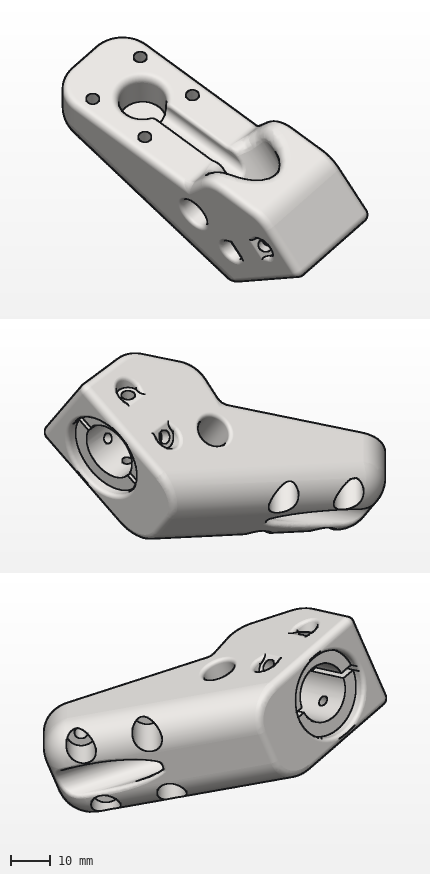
import cadquery as cq
import math

length = 85.0
width = 27.0
deck_height = 31.4
top_height = 41.05
belly_angle = 15.0
hump_angle = 55.0
nose_bottom_height = 15.3
hump_foot_x = 47.1
hump_shoulder_x = 72.4

edge_radius = 2.0
belly_radius = 9.0
hump_radius = 8.8
hump_foot_radius = 4.0
lip_radius = 1.0

bore_diameter = 15.0
bore_lip_radius = 3.0
bore_axis_sum = 90.8
flange_diameter = 22.3
flange_depth = 3.0
key_width = 1.5
key_depth = 15.0

screw_tilt = 30.0
screw_setback = 10.0
screw_seat_offset = 7.0
screw_flat_offset = 4.5
screw_flat_width = 4.25
screw_head_diameter = 6.0
screw_clearance_diameter = 3.5
screw_clearance_depth = 3.0
screw_tap_diameter = 2.6
screw_tap_depth = 10.2

deck_hole_x = 19.9
deck_hole_diameter = 12.0
deck_hole_depth = 10.0
deck_hole_lip_radius = 2.0
groove_width = 5.0
groove_depth = 4.3
mount_pitch = 17.7
mount_hole_diameter = 3.3
mount_head_diameter = 7.5
mount_seat_height = 21.25

nose_hole_diameter = 8.3
nose_hole_z = 13.2
nose_hole_end_x = 30.0
cross_hole_diameter = 8.3
cross_hole_x = 49.5
cross_hole_z = 22.4

margin = 4.25
touch = 0.04
half_width = width / 2
hump_front_x = hump_foot_x + (top_height - deck_height) / math.tan(math.radians(hump_angle))
tip_x = length + edge_radius * (math.sqrt(2) - 1)
tip_z = top_height - (tip_x - hump_shoulder_x)
face_difference = tip_x - tip_z
heel_x = (nose_bottom_height + face_difference) / (1 + math.tan(math.radians(belly_angle)))
heel_z = heel_x - face_difference

face_center = cq.Vector((bore_axis_sum + face_difference) / 2, 0, (bore_axis_sum - face_difference) / 2)
inward = cq.Vector(-1, 0, 1).normalized()
upward = cq.Vector(1, 0, 1).normalized()
across = cq.Vector(0, 1, 0)


def near(x, y, z):
    return cq.selectors.NearestToPointSelector((x, y, z))


def pick_edges(body, wanted):
    return body.newObject([edge for edge in body.edges().vals() if wanted(edge)])


def samples(edge):
    return [edge.positionAt(step / 4) for step in range(5)]


def axis_distance(point, base, direction):
    offset = point - base
    return (offset - direction * offset.dot(direction)).Length


def cylinder(diameter, height, base, direction):
    return cq.Workplane(cq.Solid.makeCylinder(diameter / 2, height, base, direction))


def make_body():
    outline = [
        (0, nose_bottom_height),
        (0, deck_height),
        (hump_foot_x, deck_height),
        (hump_front_x, top_height),
        (hump_shoulder_x, top_height),
        (tip_x, tip_z),
        (heel_x, heel_z),
    ]
    body = cq.Workplane("XZ").polyline(outline).close().extrude(half_width, both=True)
    for x in (hump_front_x, hump_shoulder_x):
        body = body.edges(near(x, 0, top_height)).fillet(hump_radius)

    belly_edges = near(0, 0, nose_bottom_height)
    for y in (-half_width, half_width):
        belly_edges = belly_edges + near(0, y, (deck_height + nose_bottom_height) / 2)
        belly_edges = belly_edges + near(heel_x / 2, y, (nose_bottom_height + heel_z) / 2)
    body = body.edges(belly_edges).fillet(belly_radius)

    body = pick_edges(body, is_rim_edge).fillet(edge_radius)
    return body.edges(near(hump_foot_x, 0, deck_height)).fillet(hump_foot_radius)


def is_rim_edge(edge):
    """Edges around the top, the back and the tube face, but no crease running across the part."""
    center = edge.Center()
    if abs(center.x - tip_x) < touch:
        return True
    if abs(center.y) < touch and edge.Length() > width - touch:
        return False
    on_top = center.z > deck_height - touch
    on_back = abs(center.x + center.z - tip_x - tip_z) < touch
    on_tube_face = all(abs(p.x - p.z - face_difference) < touch for p in samples(edge))
    return on_top or on_back or on_tube_face


def cut_bore(body):
    start = face_center - inward * margin
    plane = cq.Plane(start, upward * -1, inward)
    body = body.cut(cq.Workplane(plane).circle(bore_diameter / 2).extrude(length))

    def is_upper_rim(edge):
        on_wall = all(
            abs(axis_distance(p, face_center, inward) - bore_diameter / 2) < touch for p in samples(edge)
        )
        return on_wall and (edge.Center() - face_center).dot(inward) > key_depth

    return pick_edges(body, is_upper_rim).fillet(bore_lip_radius)


def cut_flange(body):
    """Shallow bore with a rounded rim in the tube face, turned about the bore axis."""
    radius = flange_diameter / 2
    rim_radius = radius + lip_radius
    bend = lip_radius * (1 - math.sin(math.radians(45)))
    plane = cq.Plane(face_center, across, across.cross(inward))
    cutter = (
        cq.Workplane(plane)
        .moveTo(0, -margin)
        .lineTo(rim_radius, -margin)
        .lineTo(rim_radius, 0)
        .threePointArc((radius + bend, bend), (radius, lip_radius))
        .lineTo(radius, flange_depth)
        .lineTo(0, flange_depth)
        .close()
        .revolve(360, (0, 0, 0), (0, 1, 0))
    )
    return body.cut(cutter)


def cut_keyway(body):
    plane = cq.Plane(face_center, across, inward)
    return body.cut(cq.Workplane(plane).rect(key_width, flange_diameter).extrude(key_depth))


def cut_deck_hole_and_groove(body):
    top = cq.Vector(deck_hole_x, 0, deck_height)
    body = body.cut(cylinder(deck_hole_diameter, deck_hole_depth, top, cq.Vector(0, 0, -1)))
    body = pick_edges(
        body,
        lambda edge: edge.geomType() == "CIRCLE"
        and abs(edge.Length() - math.pi * deck_hole_diameter) < touch
        and edge.Center().z > deck_height - touch,
    ).fillet(deck_hole_lip_radius)

    axis_z = deck_height - groove_depth + groove_width / 2
    run = bore_axis_sum - deck_height - deck_hole_x
    floor = cylinder(groove_width, run, cq.Vector(deck_hole_x, 0, axis_z), cq.Vector(1, 0, 0))
    walls = cq.Workplane("XY", origin=(deck_hole_x, 0, axis_z)).box(
        run, groove_width, top_height - axis_z, centered=(False, True, False)
    )
    body = body.cut(floor.union(walls))

    wall_radius = bore_diameter / 2

    def is_groove_rim(edge):
        points = samples(edge)
        on_wall = all(abs(abs(p.y) - groove_width / 2) < touch for p in points)
        on_deck = on_wall and edge.Center().z > deck_height - touch
        in_bore = all(abs(axis_distance(p, face_center, inward) - wall_radius) < touch for p in points)
        crosses_floor = in_bore and abs(edge.Center().y) < touch and edge.Center().z < deck_height - touch
        return on_deck or crosses_floor

    return pick_edges(body, is_groove_rim).fillet(lip_radius)


def cut_mounting_holes(body):
    base = heel_z - margin
    for x_side in (-1, 1):
        for y_side in (-1, 1):
            foot = cq.Vector(deck_hole_x + x_side * mount_pitch / 2, y_side * mount_pitch / 2, base)
            up = cq.Vector(0, 0, 1)
            body = body.cut(cylinder(mount_hole_diameter, top_height - base, foot, up))
            body = body.cut(cylinder(mount_head_diameter, mount_seat_height - base, foot, up))
    return body


def cut_cross_hole(body):
    start = cq.Vector(cross_hole_x, -width, cross_hole_z)
    body = body.cut(cylinder(cross_hole_diameter, 2 * width, start, across))
    for y in (-half_width, half_width):
        rim = near(cross_hole_x + cross_hole_diameter / 2, y, cross_hole_z)
        body = body.edges(rim).fillet(lip_radius)
    return body


def cut_nose_hole(body):
    along = cq.Vector(1, 0, 0)
    start = cq.Vector(-margin, 0, nose_hole_z)
    body = body.cut(cylinder(nose_hole_diameter, nose_hole_end_x + margin, start, along))

    def is_mouth(edge):
        return edge.geomType() != "LINE" and all(
            abs(axis_distance(p, start, along) - nose_hole_diameter / 2) < touch
            and p.x < nose_hole_end_x - touch
            for p in samples(edge)
        )

    return pick_edges(body, is_mouth).fillet(lip_radius)


def cut_screw(body, y_side, face_side):
    """Stepped hole into the bore, with a head recess whose seat runs out of the side."""
    tilt = math.radians(screw_tilt)
    seat_to_flat = (screw_seat_offset - screw_flat_offset) / math.cos(tilt)
    inset = seat_to_flat * math.sin(tilt)
    seat = (
        face_center
        + inward * screw_setback
        + upward * (face_side * screw_seat_offset)
        + across * (y_side * (half_width - inset))
    )
    outward = upward * (face_side * math.sin(tilt)) + across * (y_side * math.cos(tilt))
    to_flat = upward * (-face_side * math.cos(tilt)) + across * (y_side * math.sin(tilt))

    plane = cq.Plane(seat, to_flat, outward)
    head_radius = screw_head_diameter / 2
    head_depth = 2 * screw_head_diameter
    taper = (head_radius - screw_flat_width / 2) / seat_to_flat
    run_out = seat_to_flat + lip_radius
    end_half_width = head_radius - taper * run_out
    recess = (
        cq.Workplane(plane)
        .moveTo(run_out, -end_half_width)
        .lineTo(run_out, end_half_width)
        .lineTo(0, head_radius)
        .threePointArc((-head_radius, 0), (0, -head_radius))
        .close()
        .extrude(head_depth)
    )
    body = body.cut(recess)
    body = pick_edges(
        body,
        lambda edge: abs(edge.Center().y - y_side * half_width) < touch
        and (edge.Center() - seat).Length < screw_head_diameter,
    ).fillet(lip_radius)

    body = body.cut(cylinder(screw_clearance_diameter, screw_clearance_depth, seat, outward * -1))
    return body.cut(cylinder(screw_tap_diameter, screw_tap_depth, seat, outward * -1))


body = make_body()
body = cut_bore(body)
body = cut_deck_hole_and_groove(body)
body = cut_mounting_holes(body)
body = cut_cross_hole(body)
body = cut_nose_hole(body)
body = cut_flange(body)
body = cut_keyway(body)
for y_side in (-1, 1):
    for face_side in (-1, 1):
        body = cut_screw(body, y_side, face_side)

result = body